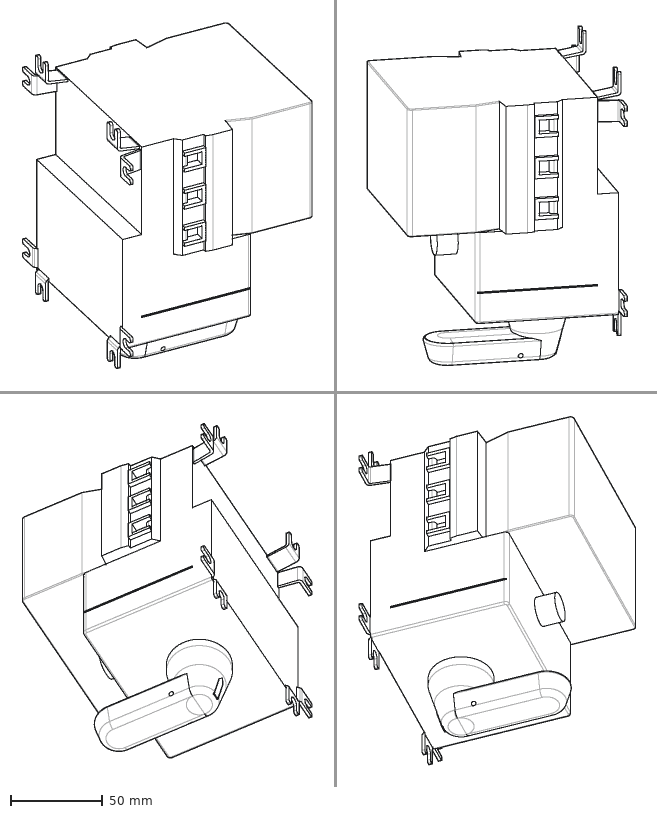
import cadquery as cq
import math


overall_width = 126.01
overall_depth = 120.48
overall_height = 172.65

housing_half_width = 50.3
knob_height = 35.0
foot_overhang = overall_width / 2 - housing_half_width
housing_height = overall_height - knob_height - foot_overhang
lower_back_y = 2.0
upper_back_y = 13.8
back_step_z = 69.8
lower_front_y = 82.4
corner_radius = 2.3
bottom_fillet = 1.2

block_bottom_z = 52.1
cover_edge_fillet = 0.6
neck_half_width = 46.2
neck_y = 68.1
strip_half_width = 56.4
strip_front_y = 66.9
strip_bend_y = 54.8
strip_ledge_half_width = 55.7
recess_front_y = 50.5
recess_back_y = 37.2
recess_half_width = 53.8
strip_back_y = 33.6

collar_count = 3
collar_pitch = 23.4
collar_height = 12.0
window_height = 7.8
window_front_y = 48.1
pocket_back_y = 41.3
pocket_floor_half_width = 51.1
pocket_lip_radius = 2.0

seam_z = 17.8
seam_width = 0.7
seam_depth = 0.4

button_diameter = 16.5
button_length = 11.8
button_z = 34.7

foot_width = 12.0
foot_thickness = 1.8
foot_leg_thickness = 1.4
foot_leg_rise = 1.8
foot_leg_inset = 2.0
foot_stub_length = 0.6
foot_bend_radius = 2.4
foot_corner_radius = 1.3
foot_slot_width = 5.5
foot_slot_depth = 8.4
foot_edge_distance = 8.3
short_foot_bend_start = 1.0
short_foot_bend_end = -0.5
short_foot_bend_depth = 0.5

knob_y = 36.4
knob_radius = 18.1
knob_collar_height = 5.6
knob_draft = 15.2
cone_ring_depth = 18.1
knob_bottom_fillet = 3.9
lever_length = 50.0
lever_root_offset = 0.5
lever_shoulder_depth = 21.0
lever_shoulder_fillet = 1.2
lever_crown_depth = 20.0
lever_crown_taper = 82.0
lever_hole_diameter = 2.6
lever_hole_y = 47.9
lever_hole_depth = 31.0
pointer_half_width = 2.2
pointer_tip_depth = 19.9
pointer_shoulder_depth = 22.6
pointer_end_depth = 34.0
pointer_relief = 0.1
pointer_thickness = 3.0


def box(x0, x1, y0, y1, z0, z1):
    """Axis-aligned box between two opposite corners."""
    return cq.Workplane("XY").box(x1 - x0, y1 - y0, z1 - z0, centered=False).translate((x0, y0, z0))


def on_both_sides(left):
    """A left-hand (-X) shape joined with its mirror image."""
    return left.union(left.mirror("YZ"))


def lower_body():
    """Lower housing with rounded front corners, rounded underside edges and a stepped back."""
    body = box(-housing_half_width, housing_half_width, lower_back_y, lower_front_y, 0, block_bottom_z)
    body = body.edges("|Z and >Y").fillet(corner_radius)
    body = body.faces("<Z").edges("not(<Y)").fillet(bottom_fillet)
    half = housing_half_width
    back_step = box(-half, half, lower_back_y, strip_back_y, block_bottom_z, back_step_z)
    return body.union(back_step)


def symmetric_block(half_outline):
    """Upper block section: a right-hand (X, Y) outline mirrored about X = 0, up to the housing top."""
    outline = half_outline + [(-x, y) for x, y in reversed(half_outline)]
    return (
        cq.Workplane("XY", origin=(0, 0, block_bottom_z))
        .polyline(outline)
        .close()
        .extrude(housing_height - block_bottom_z)
    )


def front_cover():
    """Front cover with rounded corners and rims, narrowing to the neck behind it."""
    half_outline = [
        (housing_half_width, overall_depth),
        (housing_half_width, lower_front_y),
        (neck_half_width, neck_y),
    ]
    cover = symmetric_block(half_outline)
    cover = cover.edges("|Z and >Y").fillet(corner_radius)
    return cover.faces(">Z or <Z").edges("not(<Y)").fillet(cover_edge_fillet)


def terminal_block():
    """Middle block carrying a recessed terminal strip on each side."""
    half_outline = [
        (neck_half_width, neck_y),
        (strip_half_width, strip_front_y),
        (strip_half_width, strip_bend_y),
        (strip_ledge_half_width, recess_front_y),
        (recess_half_width, recess_front_y),
        (recess_half_width, recess_back_y),
        (housing_half_width, strip_back_y),
        (housing_half_width, upper_back_y),
    ]
    return symmetric_block(half_outline)


def collar_levels():
    """Centre heights of the terminal collars."""
    middle = (block_bottom_z + housing_height) / 2
    return [middle + (i - (collar_count - 1) / 2) * collar_pitch for i in range(collar_count)]


def collar(z):
    """Left collar block standing in the recess, to be opened by the terminal pocket."""
    half = collar_height / 2
    return box(-strip_half_width, -recess_half_width, recess_back_y, recess_front_y, z - half, z + half)


def terminal_pocket(z):
    """Left pocket: open to the back through the collar, then deeper with a rounded back lip."""
    lip_end_y = pocket_back_y - pocket_lip_radius
    lip_inner_x = -recess_half_width + pocket_lip_radius
    lip_sag = pocket_lip_radius * (1 - math.sqrt(0.5))
    lip_middle = (-recess_half_width + lip_sag, pocket_back_y - lip_sag)
    return (
        cq.Workplane("XY", origin=(0, 0, z - window_height / 2))
        .moveTo(-strip_half_width, window_front_y)
        .lineTo(-pocket_floor_half_width, window_front_y)
        .lineTo(-pocket_floor_half_width, pocket_back_y)
        .lineTo(lip_inner_x, pocket_back_y)
        .threePointArc(lip_middle, (-recess_half_width, lip_end_y))
        .lineTo(-recess_half_width, recess_back_y)
        .lineTo(-strip_half_width, recess_back_y)
        .close()
        .extrude(window_height)
    )


def side_seam():
    """Left seam groove along the lower housing."""
    x0 = -housing_half_width
    half = seam_width / 2
    return box(x0, x0 + seam_depth, upper_back_y, lower_front_y, seam_z - half, seam_z + half)


def button():
    """Round push button on the lower front face."""
    return (
        cq.Workplane("XZ", origin=(0, lower_front_y, button_z))
        .circle(button_diameter / 2)
        .extrude(-button_length)
    )


def long_leg_foot():
    """Foot pointing to +Z from a housing edge at Z = 0, its leg bent back to the upper back face."""
    leg_bottom = -foot_leg_inset
    leg_top = leg_bottom + foot_leg_thickness
    stub_end_y = upper_back_y - foot_stub_length
    outer_bend = (0, leg_bottom + foot_leg_rise)
    inner_bend = (foot_thickness, leg_top + foot_leg_rise)
    profile = [
        (0, foot_overhang),
        (foot_thickness, foot_overhang),
        inner_bend,
        (stub_end_y, leg_top),
        (upper_back_y, leg_top),
        (upper_back_y, leg_bottom),
        (stub_end_y, leg_bottom),
        outer_bend,
    ]
    sheet = (
        cq.Workplane("YZ", origin=(-foot_width / 2, 0, 0))
        .polyline(profile)
        .close()
        .extrude(foot_width)
    )
    inner_bend_radius = foot_bend_radius - foot_leg_thickness
    sheet = sheet.edges(cq.NearestToPointSelector((0, *outer_bend))).fillet(foot_bend_radius)
    sheet = sheet.edges(cq.NearestToPointSelector((0, *inner_bend))).fillet(inner_bend_radius)
    return slotted(sheet)


def short_leg_foot():
    """Foot pointing to +Z whose bend runs straight into the lower back face."""
    sheet = (
        cq.Workplane("YZ", origin=(-foot_width / 2, 0, 0))
        .moveTo(lower_back_y, -foot_leg_inset)
        .lineTo(lower_back_y, 0)
        .lineTo(foot_thickness, 0)
        .lineTo(foot_thickness, foot_overhang)
        .lineTo(0, foot_overhang)
        .lineTo(0, short_foot_bend_start)
        .tangentArcPoint((short_foot_bend_depth, short_foot_bend_end), relative=False)
        .close()
        .extrude(foot_width)
    )
    return slotted(sheet)


def slotted(sheet):
    """Foot sheet with its open screw slot and rounded prong corners."""
    slot_end_z = foot_overhang - foot_slot_depth + foot_slot_width / 2
    slot_half = foot_slot_width / 2
    slot = (
        cq.Workplane("XZ", origin=(0, foot_thickness, 0))
        .moveTo(-slot_half, foot_overhang)
        .lineTo(-slot_half, slot_end_z)
        .threePointArc((0, slot_end_z - slot_half), (slot_half, slot_end_z))
        .lineTo(slot_half, foot_overhang)
        .close()
        .extrude(foot_thickness)
    )
    return sheet.cut(slot).faces(">Z").edges("|Y").fillet(foot_corner_radius)


def turned_left(upright):
    """An upright foot turned to point to -X."""
    return upright.rotate((0, 0, 0), (0, 1, 0), -90)


def mounting_feet():
    """Eight feet, two at each corner of the housing back."""
    upper = long_leg_foot()
    lower = short_leg_foot()
    foot_x = foot_edge_distance - housing_half_width
    left_feet = [
        upper.translate((foot_x, 0, housing_height)),
        lower.mirror("XY").translate((foot_x, 0, 0)),
        turned_left(upper).translate((-housing_half_width, 0, housing_height - foot_edge_distance)),
        turned_left(lower).translate((-housing_half_width, 0, foot_edge_distance)),
    ]
    feet = []
    for piece in left_feet:
        feet.append(piece)
        feet.append(piece.mirror("YZ"))
    return feet


def cone_radius(depth):
    """Knob radius at a depth below the housing underside."""
    return knob_radius - (depth - knob_collar_height) * math.tan(math.radians(knob_draft))


def lever_outline(depth, inset=0):
    """Lever outline at a depth below the housing, rounded about the knob axis and the far end."""
    width = 2 * (cone_radius(depth) - inset)
    return (
        cq.Workplane("XY", origin=(0, knob_y + lever_length / 2, -depth))
        .slot2D(lever_length + width, width, 90)
    )


def knob():
    """Conical knob body with its cylindrical collar."""
    top = cq.Workplane("XY", origin=(0, knob_y, 0)).circle(knob_radius).extrude(-knob_collar_height)
    cone = (
        cq.Workplane("XY", origin=(0, knob_y, -knob_collar_height))
        .circle(knob_radius)
        .extrude(knob_collar_height - cone_ring_depth, taper=knob_draft)
    )
    tip = (
        cq.Workplane("XY", origin=(0, knob_y, -cone_ring_depth))
        .circle(cone_radius(cone_ring_depth))
        .extrude(cone_ring_depth - knob_height, taper=knob_draft)
        .faces("<Z")
        .edges()
        .fillet(knob_bottom_fillet)
    )
    return top.union(cone).union(tip, clean=False)


def lever():
    """Drafted lever reaching forward from the knob, with a rounded shoulder and a shallow crown."""
    grip = lever_outline(lever_shoulder_depth).extrude(lever_shoulder_depth - knob_height, taper=knob_draft)
    grip = grip.faces("<Z").edges().fillet(knob_bottom_fillet)
    grip = grip.faces(">Z").edges().fillet(lever_shoulder_fillet)
    crown_height = lever_shoulder_depth - lever_crown_depth
    crown = lever_outline(lever_shoulder_depth, lever_shoulder_fillet)
    crown = crown.extrude(crown_height, taper=lever_crown_taper)
    root_y = knob_y + lever_root_offset
    in_front_of_axis = box(-knob_radius, knob_radius, root_y, overall_depth, -knob_height, 0)
    return grip.union(crown).intersect(in_front_of_axis)


def pointer():
    """House-shaped flat pad lying along the back of the knob cone."""
    draft = math.radians(knob_draft)
    back_y = knob_y - cone_radius(pointer_end_depth)

    def along_slope(depth):
        return (pointer_end_depth - depth) / math.cos(draft)

    slope = cq.Plane(
        origin=(0, back_y - pointer_relief, -pointer_end_depth),
        xDir=(1, 0, 0),
        normal=(0, -math.cos(draft), -math.sin(draft)),
    )
    shoulder = along_slope(pointer_shoulder_depth)
    outline = [
        (-pointer_half_width, 0),
        (-pointer_half_width, shoulder),
        (0, along_slope(pointer_tip_depth)),
        (pointer_half_width, shoulder),
        (pointer_half_width, 0),
    ]
    return cq.Workplane(slope).polyline(outline).close().extrude(-pointer_thickness)


def lever_hole():
    """Cross hole through the lever."""
    return (
        cq.Workplane("YZ", origin=(-knob_radius, lever_hole_y, -lever_hole_depth))
        .circle(lever_hole_diameter / 2)
        .extrude(2 * knob_radius)
    )


result = lower_body().union(front_cover()).union(terminal_block())
for level in collar_levels():
    result = result.union(on_both_sides(collar(level))).cut(on_both_sides(terminal_pocket(level)))
result = result.cut(on_both_sides(side_seam()))
result = result.union(button())
for piece in mounting_feet():
    result = result.union(piece)
for piece in (knob(), lever(), pointer()):
    result = result.union(piece, clean=False)
result = result.cut(lever_hole(), clean=False)